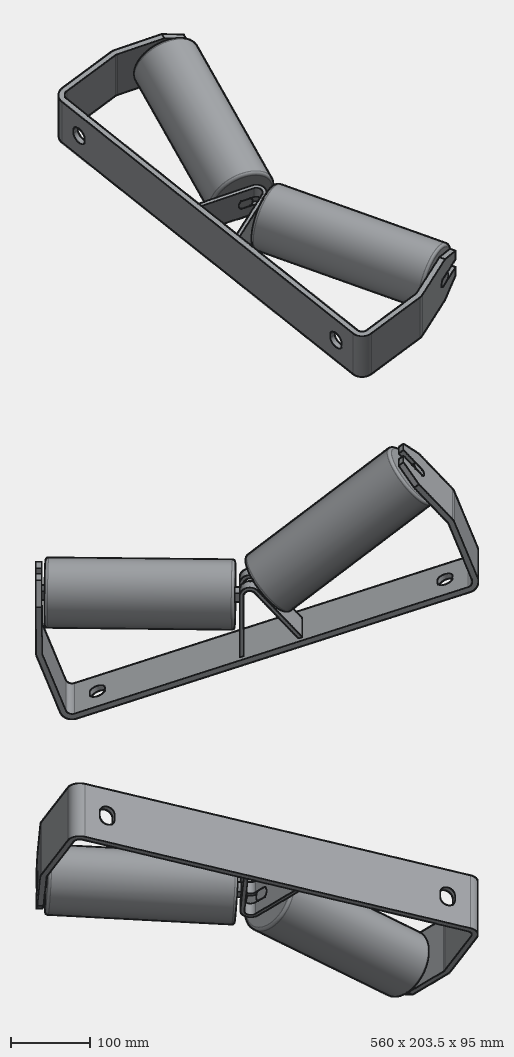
import cadquery as cq
import math

FRAME_LENGTH = 560.0
FRAME_HEIGHT = 80.0
FRAME_THICKNESS = 8.0
FRAME_BEND_RADIUS = 16.0
ARM_BEND_Y = 104.0
ARM_LENGTH = 98.0
ARM_ANGLE = 20.0
TIP_CHAMFER_LENGTH = 30.0
TIP_CHAMFER_HEIGHT = 15.5

MOUNT_SLOT_X = 233.0
MOUNT_SLOT_WIDTH = 20.0
MOUNT_SLOT_HEIGHT = 27.0

ROLLER_DIAMETER = 89.0
ROLLER_LENGTH = 239.0
ROLLER_EDGE_RADIUS = 4.0
ROLLER_TILT = 1.5
ROLLER_GAP = 4.0
AXLE_POSITION = 67.0
AXLE_DIAMETER = 19.5
AXLE_FLATS = 15.0

BRACKET_HEIGHT = 50.0
BRACKET_THICKNESS = 5.0
BRACKET_FOOT_HALF_WIDTH = 42.0
BRACKET_BEND_RADIUS = 13.0
BRACKET_SLOT_DEPTH = 19.5

SIDES = (-1, 1)
SIN_ARM = math.sin(math.radians(ARM_ANGLE))
COS_ARM = math.cos(math.radians(ARM_ANGLE))

ARM_TO_BRACKET = (
    (FRAME_LENGTH / 2 - BRACKET_FOOT_HALF_WIDTH) * COS_ARM + (ARM_BEND_Y - FRAME_THICKNESS) * SIN_ARM
)
OUTER_STUB_LENGTH = FRAME_THICKNESS + ROLLER_GAP
AXLE_LENGTH = ARM_TO_BRACKET + BRACKET_THICKNESS
BRACKET_MID_Z = -AXLE_LENGTH * math.sin(math.radians(ROLLER_TILT))


def arm_workplane(side, along_arm, tilt):
    """Workplane on an arm's outer face, its local X up the arm and its normal inwards, dipped by `tilt`."""
    level = math.cos(math.radians(tilt))
    fall = math.sin(math.radians(tilt))
    return cq.Workplane(
        cq.Plane(
            origin=(
                side * (FRAME_LENGTH / 2 - along_arm * SIN_ARM),
                ARM_BEND_Y + along_arm * COS_ARM,
                0,
            ),
            xDir=(-side * SIN_ARM, COS_ARM, 0),
            normal=(-side * COS_ARM * level, -SIN_ARM * level, -fall),
        )
    )


def axle_workplane(side):
    """Workplane at the outer end of an axle, its normal along the roller axis."""
    return arm_workplane(side, AXLE_POSITION, ROLLER_TILT)


def axle_bar(side, start, length):
    """Round bar with two level flats, on the roller axis."""
    plane = axle_workplane(side).workplane(offset=start)
    flats = plane.rect(AXLE_DIAMETER, AXLE_FLATS).extrude(length)
    return plane.circle(AXLE_DIAMETER / 2).extrude(length).intersect(flats)


def make_roller(side):
    body = (
        axle_workplane(side)
        .workplane(offset=OUTER_STUB_LENGTH)
        .circle(ROLLER_DIAMETER / 2)
        .extrude(ROLLER_LENGTH)
        .edges()
        .fillet(ROLLER_EDGE_RADIUS)
    )
    return body.union(axle_bar(side, 0, AXLE_LENGTH))


def axle_slot(side, start, depth):
    """Cutter that fits around an axle and stays open towards the tip of the arm or bracket."""
    channel = (
        axle_workplane(side)
        .workplane(offset=start)
        .center(ARM_LENGTH / 2, 0)
        .rect(ARM_LENGTH, AXLE_FLATS)
        .extrude(depth)
    )
    return axle_bar(side, start, depth).union(channel)


def frame_blank(inset, arm_length):
    """Solid filling the frame outline, moved in by `inset`, with its four bends rounded."""
    half_length = FRAME_LENGTH / 2 - inset
    bend_y = ARM_BEND_Y - inset * math.tan(math.radians(ARM_ANGLE / 2))
    tip_x = half_length - arm_length * SIN_ARM
    tip_y = bend_y + arm_length * COS_ARM
    right_half = [
        (half_length, inset),
        (half_length, bend_y),
        (tip_x, tip_y),
        (tip_x - FRAME_THICKNESS * COS_ARM, tip_y - FRAME_THICKNESS * SIN_ARM),
    ]
    left_half = [(-x, y) for x, y in reversed(right_half)]
    return (
        cq.Workplane("XY")
        .polyline(right_half + left_half)
        .close()
        .extrude(FRAME_HEIGHT / 2, both=True)
        .edges("|Z")
        .filter(lambda edge: edge.Center().y <= ARM_BEND_Y)
        .fillet(FRAME_BEND_RADIUS - inset)
    )


def tip_chamfers(side):
    """Cutter for the two sloping corners at the tip of an arm."""
    cutter = cq.Workplane()
    for end in (-1, 1):
        edge = end * FRAME_HEIGHT / 2
        cutter = cutter.add(
            arm_workplane(side, ARM_LENGTH, 0)
            .polyline([(0, edge), (-TIP_CHAMFER_LENGTH, edge), (0, edge - end * TIP_CHAMFER_HEIGHT)])
            .close()
            .extrude(FRAME_THICKNESS)
        )
    return cutter.combine()


def make_frame():
    inside = frame_blank(FRAME_THICKNESS, 2 * ARM_LENGTH)
    frame = frame_blank(0, ARM_LENGTH).cut(inside)
    mount_slots = (
        cq.Workplane("XZ")
        .pushPoints([(side * MOUNT_SLOT_X, 0) for side in SIDES])
        .slot2D(MOUNT_SLOT_HEIGHT, MOUNT_SLOT_WIDTH, 90)
        .extrude(-FRAME_THICKNESS)
    )
    frame = frame.cut(mount_slots)
    for side in SIDES:
        frame = frame.cut(tip_chamfers(side))
        frame = frame.cut(axle_slot(side, -FRAME_THICKNESS, OUTER_STUB_LENGTH + FRAME_THICKNESS))
    return frame


def bracket_blank(inset):
    """Solid filling the bracket's outline, moved in by `inset`, with a rounded top."""
    half_width = BRACKET_FOOT_HALF_WIDTH - inset / COS_ARM
    apex_y = FRAME_THICKNESS + half_width * COS_ARM / SIN_ARM
    return (
        cq.Workplane("XY", origin=(0, 0, BRACKET_MID_Z))
        .polyline([(-half_width, FRAME_THICKNESS), (half_width, FRAME_THICKNESS), (0, apex_y)])
        .close()
        .extrude(BRACKET_HEIGHT / 2, both=True)
        .edges("|Z and >Y")
        .fillet(BRACKET_BEND_RADIUS - inset)
    )


def make_bracket():
    bracket = bracket_blank(0).cut(bracket_blank(BRACKET_THICKNESS))
    for side in SIDES:
        slot = axle_slot(side, OUTER_STUB_LENGTH + ROLLER_LENGTH, BRACKET_SLOT_DEPTH)
        bracket = bracket.cut(slot)
    return bracket


frame = make_frame()
bracket = make_bracket()
rollers = [make_roller(side) for side in SIDES]

result = cq.Compound.makeCompound([frame.val(), bracket.val(), *[roller.val() for roller in rollers]])